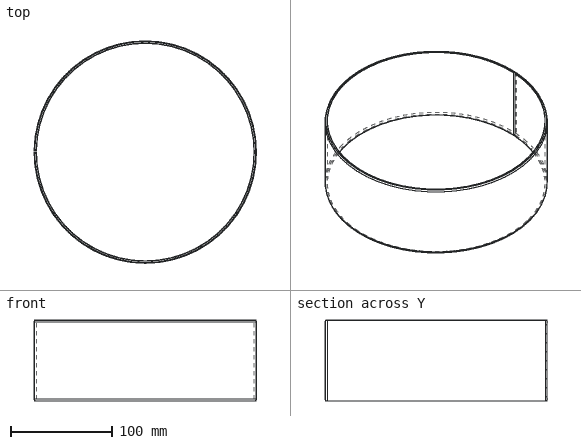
import cadquery as cq

outer_diameter = 220.0
height = 80.0
wall = 2.5
bevel_height = 2.0
bevel_depth = 0.7
inner_chamfer = 0.33
gap_width = 1.8

outer_radius = outer_diameter / 2
inner_radius = outer_radius - wall


def make_band():
    """Revolve the wall section, beveled outside and chamfered inside at both rims."""
    section = (
        cq.Workplane("XZ")
        .moveTo(inner_radius, inner_chamfer)
        .lineTo(inner_radius + inner_chamfer, 0)
        .lineTo(outer_radius - bevel_depth, 0)
        .lineTo(outer_radius, bevel_height)
        .lineTo(outer_radius, height - bevel_height)
        .lineTo(outer_radius - bevel_depth, height)
        .lineTo(inner_radius + inner_chamfer, height)
        .lineTo(inner_radius, height - inner_chamfer)
        .close()
    )
    return section.revolve(360, (0, 0, 0), (0, 1, 0))


def make_gap():
    """Full-height block through the -X wall, with one side on the Y = 0 plane."""
    block_length = 4 * wall
    return (
        cq.Workplane("XY")
        .center(-outer_radius, gap_width / 2)
        .rect(block_length, gap_width)
        .extrude(height)
    )


result = make_band().cut(make_gap())